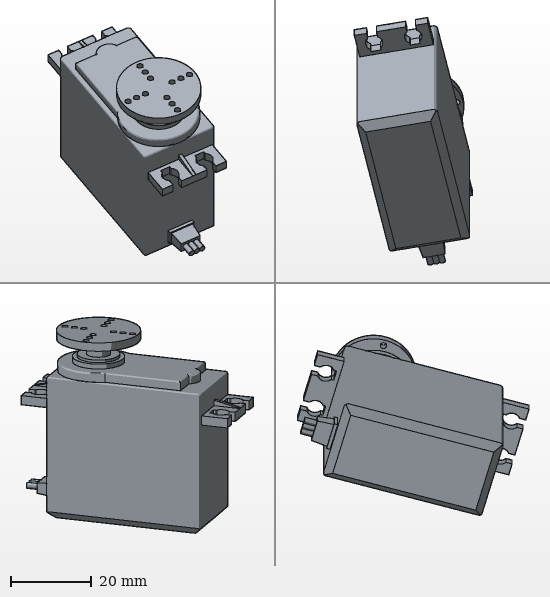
import cadquery as cq
import math


case_length = 40.95
case_width = 20.5
case_height = 37.0
case_corner_radius = 0.95
bottom_chamfer = 2.0
top_edge_radius = 0.5

lid_height = 2.3
lid_width = 17.85
lid_setback = 5.75
lid_round_radius = case_width / 2
tab_radius = 3.35
tab_reach = 1.85
lid_left = -case_length / 2 + lid_setback
lid_top = case_height + lid_height
shaft_x = case_length / 2 - lid_round_radius

flange_diameter = 13.0
flange_height = 1.3
step_diameter = 10.6
step_height = 0.65
shaft_diameter = 6.0
horn_diameter = 21.0
horn_thickness = 2.2
overall_height = 47.4
flange_top = lid_top + flange_height
step_top = flange_top + step_height
horn_bottom = overall_height - horn_thickness

horn_hole_diameter = 1.5
horn_row_count = 4
holes_per_row = 3
first_hole_radius = 3.9
horn_hole_pitch = 2.5

ear_length = 6.8
ear_width = 18.65
ear_bottom = 28.8
ear_thickness = 2.4
ear_hole_diameter = 4.3
ear_hole_inset = 3.35
ear_hole_offset = 4.95
ear_slot_width = 2.5
ear_slot_depth = 5.75
ear_rib_width = 0.95
ear_rib_height = 1.45
ear_tip_x = case_length / 2 + ear_length
ear_top = ear_bottom + ear_thickness

outlet_z = 5.3
collar_length = 0.9
collar_height = 4.2
collar_width = 7.0
boot_length = 4.15
boot_root_height = 3.45
boot_root_width = 6.25
boot_tip_height = 2.75
boot_tip_width = 5.5
wire_count = 3
wire_diameter = 1.5
overall_length = 55.8
boot_root_x = case_length / 2 + collar_length
boot_tip_x = boot_root_x + boot_length
wire_end_x = overall_length - ear_tip_x


def disc(diameter, bottom, top, x=shaft_x, y=0.0):
    """Upright cylinder between two heights."""
    return cq.Workplane("XY", origin=(x, y, bottom)).circle(diameter / 2).extrude(top - bottom)


def case_block():
    """Box with rounded upright edges, a chamfered underside and a rounded top edge."""
    block = cq.Workplane("XY").box(case_length, case_width, case_height, centered=(True, True, False))
    rounded = block.edges("|Z").fillet(case_corner_radius).faces(">Z").edges().fillet(top_edge_radius)
    chamfered = block.faces("<Z").edges().chamfer(bottom_chamfer)
    return rounded.intersect(chamfered)


def lid():
    """Raised plate with a round end about the shaft and a round tab at the opposite end."""
    plate = (
        cq.Workplane("XY", origin=(0, 0, case_height))
        .moveTo((lid_left + shaft_x) / 2, 0)
        .rect(shaft_x - lid_left, lid_width)
        .extrude(lid_height)
    )
    round_end = disc(2 * lid_round_radius, case_height, lid_top)
    tab = disc(2 * tab_radius, case_height, lid_top, x=lid_left - tab_reach + tab_radius)
    return plate.union(round_end).union(tab).faces(">Z").edges().fillet(top_edge_radius)


def ear():
    """Right-hand mounting ear with two keyhole slots and a sloping centre rib."""
    plate = (
        cq.Workplane("XY", origin=(case_length / 2 + ear_length / 2, 0, ear_bottom))
        .rect(ear_length, ear_width)
        .extrude(ear_thickness)
    )
    for side in (-1, 1):
        slot_y = side * ear_hole_offset
        hole = disc(ear_hole_diameter, ear_bottom, ear_top, x=ear_tip_x - ear_hole_inset, y=slot_y)
        slot = (
            cq.Workplane("XY", origin=(ear_tip_x - ear_slot_depth / 2, slot_y, ear_bottom))
            .rect(ear_slot_depth, ear_slot_width)
            .extrude(ear_thickness)
        )
        plate = plate.cut(hole).cut(slot)
    rib = (
        cq.Workplane("XZ")
        .moveTo(case_length / 2, ear_top)
        .lineTo(ear_tip_x, ear_top)
        .lineTo(case_length / 2, ear_top + ear_rib_height)
        .close()
        .extrude(ear_rib_width / 2, both=True)
    )
    return plate.union(rib)


def horn():
    """Round horn plate drilled with radial rows of holes."""
    plate = disc(horn_diameter, horn_bottom, overall_height)
    for row in range(horn_row_count):
        angle = row * 2 * math.pi / horn_row_count
        for index in range(holes_per_row):
            radius = first_hole_radius + index * horn_hole_pitch
            hole_x = shaft_x + radius * math.cos(angle)
            hole_y = radius * math.sin(angle)
            plate = plate.cut(disc(horn_hole_diameter, horn_bottom, overall_height, x=hole_x, y=hole_y))
    return plate


def cable_outlet():
    """Rectangular collar followed by a boot that tapers towards the wires."""
    collar = (
        cq.Workplane("YZ", origin=(case_length / 2, 0, outlet_z))
        .rect(collar_width, collar_height)
        .extrude(collar_length)
    )
    boot = (
        cq.Workplane("YZ", origin=(boot_root_x, 0, outlet_z))
        .rect(boot_root_width, boot_root_height)
        .workplane(offset=boot_length)
        .rect(boot_tip_width, boot_tip_height)
        .loft(ruled=True)
    )
    return collar.union(boot)


def servo_body():
    """Case, lid, ears, output shaft with horn, and cable outlet as one solid."""
    right_ear = ear()
    left_ear = right_ear.mirror("YZ")
    return (
        case_block()
        .union(lid())
        .union(right_ear)
        .union(left_ear)
        .union(disc(flange_diameter, lid_top, flange_top))
        .union(disc(step_diameter, flange_top, step_top))
        .union(disc(shaft_diameter, step_top, horn_bottom))
        .union(horn())
        .union(cable_outlet())
    )


def wire(y):
    """One round wire leaving the end of the boot."""
    return (
        cq.Workplane("YZ", origin=(boot_tip_x, y, outlet_z))
        .circle(wire_diameter / 2)
        .extrude(wire_end_x - boot_tip_x)
    )


servo = servo_body().solids()

wires = []
for number in range(wire_count):
    wire_y = (number - (wire_count - 1) / 2) * wire_diameter
    wires.append(wire(wire_y).val())

result = cq.Compound.makeCompound([servo.val(), *wires])